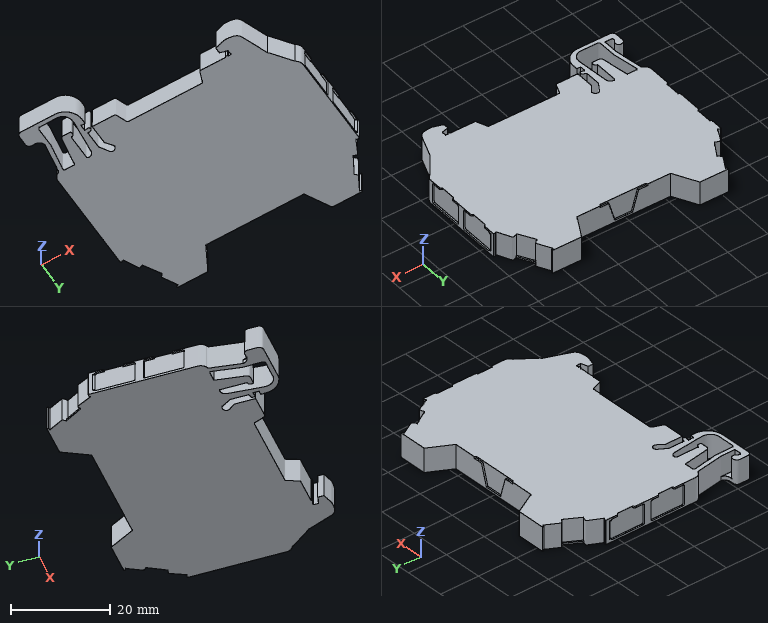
import cadquery as cq
import math

THICKNESS = 6.0
HALF_WIDTH = 28.5
TOP_Y = 42.5
DECK_Y = 36.75
CLIP_LEFT_X = -29.33
CLIP_BOTTOM_Y = -6.55
HEEL_X = -16.33
HEEL_TOP_Y = -1.4
LEG_X = -26.0
LEG_INNER_X = LEG_X + 1.0
ARM_INNER_X = -18.15
CURL_TOP_Y = -2.5
CURL_FLOOR_Y = CLIP_BOTTOM_Y + 1.6
OPENING_BOTTOM_Y = CLIP_BOTTOM_Y + 1.02
OPENING_TOP_Y = 6.0
FINGER_RIGHT_X = -20.5
FINGER_TIP_Y = -1.2
SLOT_RIGHT_X = -15.55
SLOT_LEFT_X = -17.1

LEDGE_TOP = (22.85, 38.0)
LEDGE_LENGTH = 4.45
SHOULDER_ANGLE = 60.0
LEDGE_RECESS_DEPTH = 0.4
LEDGE_THICKNESS = 0.43

POCKET_DEPTH = 0.4
POCKET_LENGTH = 8.75
POCKET_FLOOR_Z = 0.57
POCKET_TOP_Z = THICKNESS - 0.4
POCKET_CORNER_RADIUS = 0.35
POCKET_LOW_ENDS = (10.5, 21.05)
POCKET_RAMP_LENGTH = 0.43
NOTCH_LOW_ENDS = (13.0, 23.5)
NOTCH_LENGTHS = (4.3, 4.6)
NOTCH_END_TAPER = 0.3

DECK_NOTCH_HALF_WIDTH = 6.0
DECK_LEDGE_INNER_X = 3.7
DECK_FLOOR_HALF_WIDTH = 2.2

WEB_THICKNESS = 1.0

SHARP = 0.0


def rounded_wire(corners):
    """Closed outline through (x, y, radius) corners; a radius of zero keeps the corner sharp."""
    stretches = []
    for i, (x, y, radius) in enumerate(corners):
        corner = cq.Vector(x, y)
        before = cq.Vector(*corners[i - 1][:2])
        after = cq.Vector(*corners[(i + 1) % len(corners)][:2])
        if radius == SHARP:
            stretches.append((corner,))
            continue
        to_before = (before - corner).normalized()
        to_after = (after - corner).normalized()
        half_angle = to_before.getAngle(to_after) / 2
        tangent_length = radius / math.tan(half_angle)
        bisector = (to_before + to_after).normalized()
        middle = corner + bisector * (radius / math.sin(half_angle) - radius)
        stretches.append((corner + to_before * tangent_length, middle, corner + to_after * tangent_length))
    sketch = cq.Workplane("XY").moveTo(*stretches[0][-1].toTuple()[:2])
    for stretch in stretches[1:] + stretches[:1]:
        sketch = sketch.lineTo(*stretch[0].toTuple()[:2])
        if len(stretch) > 1:
            sketch = sketch.threePointArc(stretch[1].toTuple()[:2], stretch[2].toTuple()[:2])
    return sketch.wire()


def mirrored(corners):
    """The same corners on the other side of the middle, in reverse order."""
    return [(-x, y, radius) for x, y, radius in reversed(corners)]


def both_sides(solid):
    """The solid together with its mirror image across the middle of the housing."""
    return solid.union(solid.mirror("YZ"))


ledge_run = LEDGE_LENGTH * math.cos(math.radians(SHOULDER_ANGLE))
ledge_drop = LEDGE_LENGTH * math.sin(math.radians(SHOULDER_ANGLE))
LEDGE_BOTTOM = (LEDGE_TOP[0] + ledge_run, LEDGE_TOP[1] - ledge_drop)

SHOULDER = [
    (11.7, DECK_Y, SHARP),
    (14.8, TOP_Y, SHARP),
    (22.05, TOP_Y, SHARP),
    (22.05, TOP_Y - 0.4, SHARP),
    (21.6, TOP_Y - 0.5, SHARP),
    (23.45, 38.65, SHARP),
    (*LEDGE_TOP, SHARP),
    (*LEDGE_BOTTOM, SHARP),
    (26.0, 34.4, 0.2),
    (27.7, 31.0, SHARP),
    (28.2, 31.25, SHARP),
    (HALF_WIDTH, 31.15, SHARP),
]

HOOK = [
    (HALF_WIDTH, 8.8, 1.85),
    (27.55, 8.27, SHARP),
    (24.4, 4.0, 1.0),
    (23.95, 3.5, SHARP),
    (21.33, -3.35, 1.9),
    (19.3, -3.7, SHARP),
    (18.2, -3.7, 0.8),
    (15.75, -2.95, SHARP),
    (15.75, -1.6, SHARP),
    (17.5, -1.1, SHARP),
    (17.5, 0.0, SHARP),
    (16.9, 0.0, SHARP),
    (16.8, -0.2, SHARP),
    (16.3, -0.2, SHARP),
    (16.2, 0.0, SHARP),
]

FOOT_RELIEF = [
    (10.05, 0.0, 0.35),
    (8.95, 2.83, 0.35),
]

SLOT = [
    (SLOT_RIGHT_X, 0.0, SHARP),
    (SLOT_RIGHT_X, 4.6, 0.5),
    (-14.05, 6.6, 0.81),
    (-15.35, 7.75, 0.81),
    (SLOT_LEFT_X, 4.9, 0.5),
    (SLOT_LEFT_X, 0.95, SHARP),
    (-16.1, 0.6, 0.2),
    (-16.1, -0.2, 0.3),
    (-17.3, -0.05, SHARP),
    (-17.3, HEEL_TOP_Y, SHARP),
]

CLIP = [
    (HEEL_X, HEEL_TOP_Y, SHARP),
    (HEEL_X, CLIP_BOTTOM_Y, 4.0),
    (CLIP_LEFT_X, CLIP_BOTTOM_Y, 1.0),
    (CLIP_LEFT_X, CURL_TOP_Y, 0.95),
    (-27.4, CURL_TOP_Y, 0.65),
    (-27.4, -3.7, 0.4),
    (-27.9, -4.2, 0.3),
    (-27.9, CURL_FLOOR_Y, 0.25),
    (LEG_X, CURL_FLOOR_Y, SHARP),
    (LEG_X, -1.33, SHARP),
    (-27.2, 5.9, 0.5),
    (-27.65, 6.05, SHARP),
    (-HALF_WIDTH, 6.59, 1.83),
]

CLIP_OPENING = [
    (-26.15, OPENING_TOP_Y, 0.3),
    (-23.5, OPENING_TOP_Y, SHARP),
    (-22.3, FINGER_TIP_Y, 0.8),
    (-19.85, FINGER_TIP_Y, 0.25),
    (-19.85, -0.3, 0.3),
    (FINGER_RIGHT_X, 0.05, SHARP),
    (FINGER_RIGHT_X, OPENING_TOP_Y, 0.3),
    (-19.05, OPENING_TOP_Y, 1.2),
    (ARM_INNER_X, -2.7, SHARP),
    (ARM_INNER_X, OPENING_BOTTOM_Y, 2.3),
    (LEG_INNER_X, OPENING_BOTTOM_Y, 0.5),
    (LEG_INNER_X, -0.65, SHARP),
]

WEB_SPAN = [
    (-28.2, CURL_TOP_Y, SHARP),
    (LEG_X, CURL_TOP_Y, 1.45),
    (LEG_X, -1.0, SHARP),
    (-25.5, -1.0, SHARP),
    (-25.5, -5.2, SHARP),
    (-28.2, -5.2, SHARP),
]


def make_plate():
    outline = SHOULDER + HOOK + FOOT_RELIEF + mirrored(FOOT_RELIEF) + SLOT + CLIP + mirrored(SHOULDER)
    plate = rounded_wire(outline).extrude(THICKNESS)
    opening = rounded_wire(CLIP_OPENING).extrude(THICKNESS)
    web = rounded_wire(WEB_SPAN).extrude(WEB_THICKNESS)
    return plate.cut(opening).union(web)


def ledge_recess():
    """Shallow cut into the right slanted wall, stopping short of the underside."""
    recess = (
        cq.Workplane("XY")
        .box(LEDGE_LENGTH, 2 * LEDGE_RECESS_DEPTH, THICKNESS, centered=(False, True, False))
        .rotate((0, 0, 0), (0, 0, 1), -SHOULDER_ANGLE)
    )
    return recess.translate((*LEDGE_TOP, LEDGE_THICKNESS))


def side_pocket(low_end, notch_low_end, notch_length):
    """Rounded rectangular pocket in the right wall with a tapered mouth in the top face."""
    height = POCKET_TOP_Z - POCKET_FLOOR_Z
    floor_x = HALF_WIDTH - POCKET_DEPTH
    pocket = (
        cq.Workplane("XY")
        .box(POCKET_DEPTH, POCKET_LENGTH, height, centered=False)
        .edges("|X")
        .fillet(POCKET_CORNER_RADIUS)
        .translate((floor_x, low_end, POCKET_FLOOR_Z))
    )
    notch_high_end = notch_low_end + notch_length
    mouth = (
        cq.Workplane("XY", origin=(0, 0, POCKET_FLOOR_Z + height / 2))
        .moveTo(HALF_WIDTH, notch_low_end)
        .lineTo(floor_x, notch_low_end + NOTCH_END_TAPER)
        .lineTo(floor_x, notch_high_end - NOTCH_END_TAPER)
        .lineTo(HALF_WIDTH, notch_high_end)
        .close()
        .extrude(THICKNESS)
    )
    return pocket.union(mouth)


def pocket_ramp():
    """Sloping end that runs the upper pocket out to the wall surface."""
    pocket_end = POCKET_LOW_ENDS[-1] + POCKET_LENGTH
    floor_x = HALF_WIDTH - POCKET_DEPTH
    return (
        cq.Workplane("XY", origin=(0, 0, POCKET_FLOOR_Z + POCKET_CORNER_RADIUS))
        .moveTo(floor_x, pocket_end)
        .lineTo(HALF_WIDTH, pocket_end)
        .lineTo(HALF_WIDTH, pocket_end + POCKET_RAMP_LENGTH)
        .close()
        .extrude(POCKET_TOP_Z - POCKET_FLOOR_Z - 2 * POCKET_CORNER_RADIUS)
    )


def deck_pocket():
    """Pocket in the deck wall: shallow ledges at both ends slope down to a deep middle."""
    half = [
        (DECK_FLOOR_HALF_WIDTH, POCKET_FLOOR_Z),
        (DECK_LEDGE_INNER_X, POCKET_TOP_Z),
        (DECK_NOTCH_HALF_WIDTH, POCKET_TOP_Z),
        (DECK_NOTCH_HALF_WIDTH, THICKNESS),
    ]
    other_half = [(-x, z) for x, z in reversed(half)]
    stepped = (
        cq.Workplane("XZ", origin=(0, DECK_Y, 0))
        .polyline(half + other_half)
        .close()
        .extrude(POCKET_DEPTH)
    )
    tapered_ends = (
        cq.Workplane("XY")
        .moveTo(-DECK_NOTCH_HALF_WIDTH, DECK_Y)
        .lineTo(DECK_NOTCH_HALF_WIDTH, DECK_Y)
        .lineTo(DECK_NOTCH_HALF_WIDTH - NOTCH_END_TAPER, DECK_Y - POCKET_DEPTH)
        .lineTo(NOTCH_END_TAPER - DECK_NOTCH_HALF_WIDTH, DECK_Y - POCKET_DEPTH)
        .close()
        .extrude(THICKNESS)
    )
    return stepped.intersect(tapered_ends)


result = make_plate()
result = result.cut(both_sides(ledge_recess()))
for pocket_place in zip(POCKET_LOW_ENDS, NOTCH_LOW_ENDS, NOTCH_LENGTHS):
    result = result.cut(both_sides(side_pocket(*pocket_place)))
result = result.cut(both_sides(pocket_ramp()))
result = result.cut(deck_pocket())